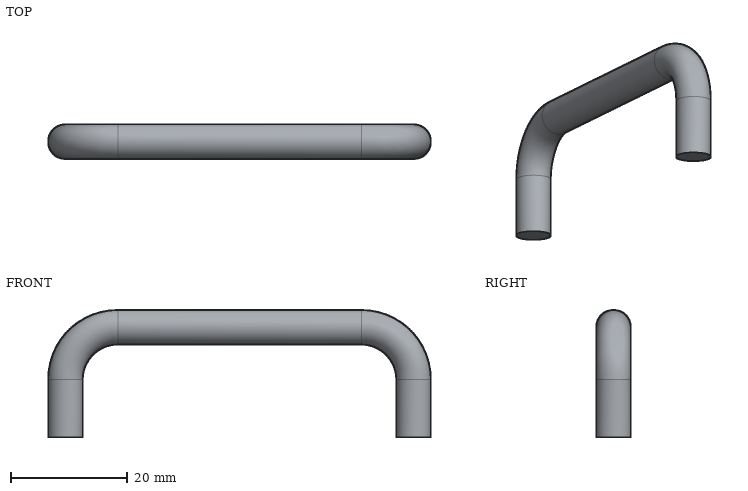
import cadquery as cq
import math

length = 66.0
height = 22.0
rod_diameter = 6.0
bend_radius = 9.0

rod_radius = rod_diameter / 2
leg_x = length / 2 - rod_radius
bar_z = height / 2 - rod_radius
foot_z = -height / 2
bend_x = leg_x - bend_radius
bend_z = bar_z - bend_radius
bend_mid = bend_radius * math.sin(math.radians(45))

centerline = (
    cq.Workplane("XZ")
    .moveTo(-leg_x, foot_z)
    .lineTo(-leg_x, bend_z)
    .threePointArc((-bend_x - bend_mid, bend_z + bend_mid), (-bend_x, bar_z))
    .lineTo(bend_x, bar_z)
    .threePointArc((bend_x + bend_mid, bend_z + bend_mid), (leg_x, bend_z))
    .lineTo(leg_x, foot_z)
)

result = (
    cq.Workplane("XY", origin=(-leg_x, 0, foot_z))
    .circle(rod_radius)
    .sweep(centerline)
)